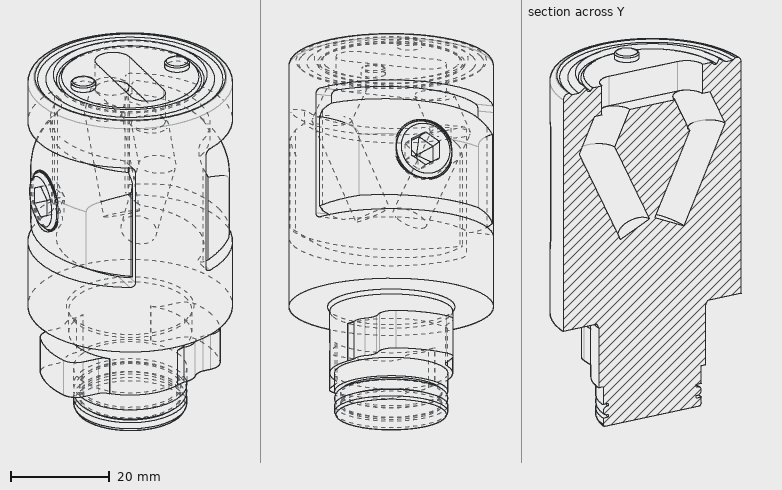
import cadquery as cq
import math

total_height = 76.2
sleeve_radius = 20.8
sleeve_bottom = 22.8
sleeve_top = 74.8
sleeve_top_fillet = 1.2
recess_top_radius = 19.35
recess_floor_radius = 18.8
recess_floor = 74.35

rim_top = 75.3
rim_base_radius = 17.15
rim_outer_radius = 15.6
groove_outer_radius = 15.0
groove_inner_radius = 14.5
groove_bottom = 74.3
disc_radius = 13.95
disc_top = 74.9

web_half_width = 7.9
window_bottom = 37.5
front_window_top = 64.7
back_window_top = 65.1
window_fillet = 1.1

jaw_axis_offset = 4.0
jaw_neck_reach = 15.85
jaw_face_reach = 19.8
jaw_floor_reach = 14.6
jaw_taper_top = 40.7
dome_bottom = 53.55
dome_top = 62.1
jaw_flank_radius = 20.6
jaw_half_width = 18.65
jaw_root_half_width = 17.8

screw_z = 50.8
screw_radius = 6.0
screw_face = 20.1
screw_chamfer = 0.75
screw_recess_radius = 6.3
screw_recess_floor = 19.05
hex_across_flats = 6.0
hex_depth = 3.8
hex_tip_depth = 1.5

stub_radius = 12.5
stub_bottom = 8.75
flare_radius = 12.95
flare_height = 0.9
plug_radius = 11.5
seal_groove_top = 4.9
seal_groove_bottom = 2.0
seal_groove_radius = 10.3
seal_tube_radius = 1.0
seal_z = 3.4
plug_chamfer_width = 0.3
plug_chamfer_height = 0.6

lug_top = 16.7
lug_radius = 18.4
lug_tip_half_width = 5.5
lug_half_width = 7.85
lug_shoulder_y = -14.3
left_flank_end_y = -12.65
left_blend_middle = (-8.3, -11.3)
left_blend_end = (-9.4, -10.1)
left_tail_crest = (-10.4, -8.6)
left_tail_corner = (-10.7, -7.0)
left_tail_end = (-11.35, -5.25)
right_flank_end_y = -10.8
right_blend_end = (8.9, -8.9)
lug_root_y = -3.8

slot_width = 7.4
slot_half_length = 11.7
slot_floor = 68.4
passage_start_x = 9.4
passage_tilt = 25.0
passage_elbow_z = 60.85
passage_end_z = 41.9
pin_offset = 10.5
pin_radius = 2.5
pin_chamfer = 0.3
pin_embed = 0.75


def turned_body():
    """Sleeve, stub and plug as one profile turned about Z."""
    fillet_start = sleeve_radius - sleeve_top_fillet
    fillet_mid = sleeve_top_fillet * math.sqrt(0.5)
    fillet_base = sleeve_top - sleeve_top_fillet
    return (
        cq.Workplane("XZ")
        .lineTo(plug_radius - plug_chamfer_width, 0)
        .lineTo(plug_radius, plug_chamfer_height)
        .lineTo(plug_radius, seal_groove_bottom)
        .lineTo(seal_groove_radius, seal_groove_bottom)
        .lineTo(seal_groove_radius, seal_groove_top)
        .lineTo(plug_radius, seal_groove_top)
        .lineTo(plug_radius, stub_bottom)
        .lineTo(stub_radius, stub_bottom)
        .lineTo(stub_radius, sleeve_bottom - flare_height)
        .lineTo(flare_radius, sleeve_bottom)
        .lineTo(sleeve_radius, sleeve_bottom)
        .lineTo(sleeve_radius, fillet_base)
        .threePointArc((fillet_start + fillet_mid, fillet_base + fillet_mid), (fillet_start, sleeve_top))
        .lineTo(recess_top_radius, sleeve_top)
        .lineTo(recess_floor_radius, recess_floor)
        .lineTo(rim_base_radius, recess_floor)
        .lineTo(rim_outer_radius, rim_top)
        .lineTo(groove_outer_radius, groove_bottom)
        .lineTo(groove_inner_radius, groove_bottom)
        .lineTo(disc_radius, disc_top)
        .lineTo(0, disc_top)
        .close()
        .revolve(360, (0, 0, 0), (0, 1, 0))
    )


def seal_ring():
    ring_radius = plug_radius - seal_tube_radius
    section = cq.Plane(origin=(ring_radius, 0, seal_z), xDir=(-1, 0, 0), normal=(0, 1, 0))
    return (
        cq.Workplane(section)
        .circle(seal_tube_radius)
        .revolve(360, (ring_radius, 0, 0), (ring_radius, 1, 0))
    )


def window_cut(window_top):
    """Block that opens the -Y side of the sleeve, rounded at its inner corners."""
    height = window_top - window_bottom
    return (
        cq.Workplane("XY")
        .workplane(offset=window_bottom)
        .center(0, -web_half_width - sleeve_radius / 2)
        .rect(3 * sleeve_radius, sleeve_radius)
        .extrude(height)
        .faces(">Y")
        .edges("|X")
        .fillet(window_fillet)
    )


def jaw(window_top):
    """Jaw on the -Y side: domed turned shape trimmed by round flanks."""
    face_radius = jaw_face_reach + jaw_axis_offset
    neck_radius = jaw_neck_reach + jaw_axis_offset
    floor_radius = jaw_floor_reach + jaw_axis_offset
    dome_width = face_radius - neck_radius
    dome_height = dome_top - dome_bottom
    dome_radius = (dome_width**2 + dome_height**2) / (2 * dome_width)
    half_sweep = math.asin(dome_height / dome_radius) / 2
    dome_middle = (
        face_radius - dome_radius * (1 - math.cos(half_sweep)),
        dome_bottom + dome_radius * math.sin(half_sweep),
    )
    turned = (
        cq.Workplane("XZ")
        .moveTo(0, window_bottom)
        .lineTo(floor_radius, window_bottom)
        .lineTo(face_radius, jaw_taper_top)
        .lineTo(face_radius, dome_bottom)
        .threePointArc(dome_middle, (neck_radius, dome_top))
        .lineTo(neck_radius, window_top)
        .lineTo(0, window_top)
        .close()
        .revolve(360, (0, 0, 0), (0, 1, 0))
        .translate((0, jaw_axis_offset, 0))
    )
    flank_y = -math.sqrt(jaw_flank_radius**2 - jaw_half_width**2)
    trim = (
        cq.Workplane("XY")
        .workplane(offset=window_bottom)
        .moveTo(-jaw_half_width, flank_y)
        .threePointArc((0, -jaw_flank_radius), (jaw_half_width, flank_y))
        .lineTo(jaw_root_half_width, -web_half_width)
        .lineTo(jaw_root_half_width, 0)
        .lineTo(-jaw_root_half_width, 0)
        .lineTo(-jaw_root_half_width, -web_half_width)
        .close()
        .extrude(window_top - window_bottom)
    )
    return turned.intersect(trim)


def on_front(reach):
    """Workplane facing -Y, centred on the screw at the given distance from the axis."""
    return cq.Workplane("XZ", origin=(0, -reach, screw_z))


def add_screw(body):
    recess_height = sleeve_radius - screw_recess_floor
    recess = on_front(screw_recess_floor).circle(screw_recess_radius).extrude(recess_height)
    head = (
        on_front(screw_recess_floor)
        .circle(screw_radius)
        .extrude(screw_face - screw_recess_floor)
        .faces("<Y")
        .chamfer(screw_chamfer)
    )
    corner_radius = hex_across_flats / 2 / math.cos(math.radians(30))
    angles = [math.radians(60 * i) for i in range(6)]
    corners = [(corner_radius * math.sin(angle), corner_radius * math.cos(angle)) for angle in angles]
    socket = on_front(screw_face).polyline(corners).close().extrude(-hex_depth)
    tip = cq.Vector(0, hex_depth + hex_tip_depth - screw_face, screw_z)
    base = [cq.Vector(x, hex_depth - screw_face, screw_z + z) for x, z in corners]
    sides = [
        cq.Face.makeFromWires(cq.Wire.makePolygon([base[i - 1], base[i], tip], close=True))
        for i in range(6)
    ]
    bottom = cq.Face.makeFromWires(cq.Wire.makePolygon(base, close=True))
    pyramid = cq.Solid.makeSolid(cq.Shell.makeShell(sides + [bottom]))
    return body.cut(recess).union(head).cut(socket).cut(cq.Workplane(pyramid))


def lug():
    """Bayonet lug on the -Y side, with a longer tail on its -X flank."""
    tip_y = -math.sqrt(lug_radius**2 - lug_tip_half_width**2)
    return (
        cq.Workplane("XY")
        .workplane(offset=stub_bottom)
        .moveTo(-lug_tip_half_width, tip_y)
        .threePointArc((0, -lug_radius), (lug_tip_half_width, tip_y))
        .tangentArcPoint((lug_half_width, lug_shoulder_y), relative=False)
        .lineTo(lug_half_width, right_flank_end_y)
        .tangentArcPoint(right_blend_end, relative=False)
        .lineTo(right_blend_end[0], lug_root_y)
        .lineTo(left_tail_end[0], lug_root_y)
        .lineTo(*left_tail_end)
        .lineTo(*left_tail_corner)
        .threePointArc(left_tail_crest, left_blend_end)
        .threePointArc(left_blend_middle, (-lug_half_width, left_flank_end_y))
        .lineTo(-lug_half_width, lug_shoulder_y)
        .tangentArcPoint((-lug_tip_half_width, tip_y), relative=False)
        .close()
        .extrude(lug_top - stub_bottom)
    )


def cross_drill(start, end):
    """Round bore of the slot width from start to end, both on the XZ plane."""
    start_point = cq.Vector(start[0], 0, start[1])
    path = cq.Vector(end[0], 0, end[1]) - start_point
    return cq.Workplane(cq.Solid.makeCylinder(slot_width / 2, path.Length, start_point, path))


def passage():
    """Angled passage on the +X side: outwards from the slot floor, then back inwards."""
    spread = math.tan(math.radians(passage_tilt))
    elbow_x = passage_start_x + spread * (slot_floor - passage_elbow_z)
    end_x = elbow_x - spread * (passage_elbow_z - passage_end_z)
    overrun = slot_width / 2
    outward = cross_drill(
        (passage_start_x - spread * overrun, slot_floor + overrun),
        (elbow_x + spread * overrun, passage_elbow_z - overrun),
    )
    inward = cross_drill(
        (elbow_x + spread * overrun, passage_elbow_z + overrun),
        (end_x, passage_end_z),
    )
    span = 4 * sleeve_radius
    elbow_plane = cq.Workplane("XY").workplane(offset=passage_elbow_z)
    upper = elbow_plane.rect(span, span).extrude(slot_floor - passage_elbow_z)
    lower = elbow_plane.rect(span, span).extrude(-passage_elbow_z)
    return outward.intersect(upper).union(inward.intersect(lower))


def slot():
    return (
        cq.Workplane("XY")
        .workplane(offset=slot_floor)
        .slot2D(2 * slot_half_length, slot_width)
        .extrude(total_height - slot_floor)
    )


def pins():
    return (
        cq.Workplane("XY")
        .workplane(offset=disc_top - pin_embed)
        .pushPoints([(0, -pin_offset), (0, pin_offset)])
        .circle(pin_radius)
        .extrude(total_height - disc_top + pin_embed)
        .faces(">Z")
        .chamfer(pin_chamfer)
    )


def half_turn(shape):
    return shape.rotate((0, 0, 0), (0, 0, 1), 180)


body = turned_body().union(seal_ring())
body = body.cut(window_cut(front_window_top)).cut(half_turn(window_cut(back_window_top)))
body = body.union(jaw(front_window_top)).union(half_turn(jaw(back_window_top)))
body = add_screw(body)
body = body.union(lug()).union(half_turn(lug()))
body = body.cut(slot()).cut(passage()).cut(half_turn(passage()))
result = body.union(pins())